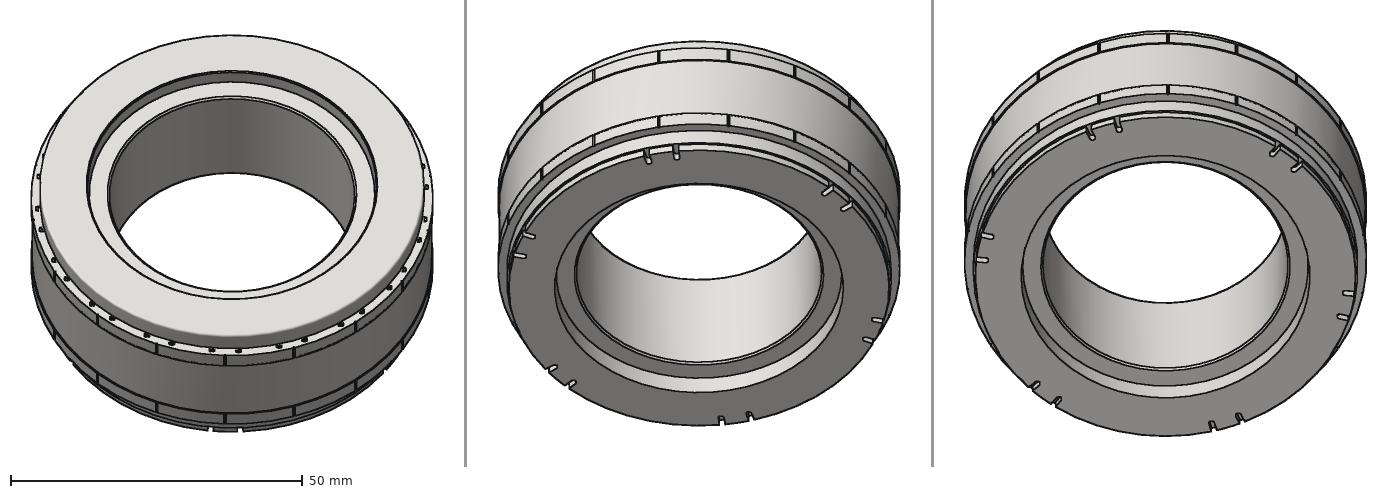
import cadquery as cq
stator_height = 27.05
stator_bore_radius = 24.8
cap_radius = 33.0
cap_fillet = 0.4
bore_chamfer = 0.2

core_radius = 34.3
band_radius = 34.5
lower_band_bottom = 4.55
lower_band_top = 7.3
upper_band_bottom = 20.6
upper_band_top = 23.5

rim_radius = 32.65
rim_height = 1.5

groove_count = 18
groove_pitch = 360 / groove_count
groove_depth = band_radius - core_radius
groove_half_width = 0.2

recess_chord_distance = 33.1
recess_radius = 0.5
recess_depth = 0.2
recess_side_offset = 3.5

slot_pair_count = 6
slot_pair_pitch = 360 / slot_pair_count
first_slot_pair_angle = -70.0
slot_offset_angle = 4.5
slot_width = 1.0
slot_end_centre_radius = 31.05

air_gap = 0.3
rotor_radius = stator_bore_radius - air_gap
rotor_bore_radius = 21.05
rotor_bottom = 3.3
rotor_top = 24.55
rotor_chamfer = 0.35

INNERMOST = cq.selectors.RadiusNthSelector(0)
first_groove_angle = 90.0
groove_angles = [first_groove_angle + index * groove_pitch for index in range(groove_count)]


def cylinder(radius, bottom, top):
    return cq.Workplane("XY").workplane(offset=bottom).circle(radius).extrude(top - bottom)


def turn(shape, angle):
    """Turn a shape about the Z axis."""
    return shape.rotate((0, 0, 0), (0, 0, 1), angle)


def make_bands():
    lower_band = cylinder(band_radius, lower_band_bottom, lower_band_top)
    upper_band = cylinder(band_radius, upper_band_bottom, upper_band_top)
    core = cylinder(core_radius, lower_band_bottom, upper_band_top)
    return core.union(lower_band).union(upper_band)


def cut_band_grooves(bands):
    groove = (
        cq.Workplane("XY")
        .workplane(offset=lower_band_bottom)
        .moveTo(core_radius, 0)
        .lineTo(band_radius + groove_depth, 2 * groove_half_width)
        .lineTo(band_radius + groove_depth, -2 * groove_half_width)
        .close()
        .extrude(upper_band_top - lower_band_bottom)
    )
    for angle in groove_angles:
        bands = bands.cut(turn(groove, angle))
    return bands


def cut_recesses(bands):
    chord = recess_chord_distance
    recess = (
        cq.Workplane("XY")
        .workplane(offset=upper_band_top - recess_depth)
        .moveTo(chord, -recess_radius)
        .threePointArc((chord + recess_radius, 0), (chord, recess_radius))
        .close()
        .extrude(recess_depth)
    )
    for groove_angle in groove_angles:
        tooth_angle = groove_angle + groove_pitch / 2
        for side in (-1, 1):
            bands = bands.cut(turn(recess.translate((0, side * recess_side_offset, 0)), tooth_angle))
    return bands


def make_slotted_rim():
    rim = cylinder(rim_radius, 0, rim_height)
    slot_end = cylinder(slot_width / 2, 0, rim_height).translate((slot_end_centre_radius, 0, 0))
    slot = slot_end.union(
        cq.Workplane("XY")
        .box(cap_radius - slot_end_centre_radius, slot_width, rim_height, centered=(False, True, False))
        .translate((slot_end_centre_radius, 0, 0))
    )
    for index in range(slot_pair_count):
        pair_angle = first_slot_pair_angle + index * slot_pair_pitch
        for side in (-1, 1):
            rim = rim.cut(turn(slot, pair_angle + side * slot_offset_angle))
    return rim


def make_stator():
    bands = cut_recesses(cut_band_grooves(make_bands()))
    cap = cylinder(cap_radius, rim_height, stator_height).faces(">Z").edges().fillet(cap_fillet)
    blank = bands.union(cap).union(make_slotted_rim())
    bored = blank.cut(cylinder(stator_bore_radius, 0, stator_height))
    return bored.faces(">Z").edges(INNERMOST).chamfer(bore_chamfer)


def make_rotor():
    ring = cylinder(rotor_radius, rotor_bottom, rotor_top).cut(
        cylinder(rotor_bore_radius, rotor_bottom, rotor_top)
    )
    return ring.faces("<Z or >Z").edges(INNERMOST).chamfer(rotor_chamfer)


stator = make_stator()
rotor = make_rotor()

result = cq.Compound.makeCompound([stator.val(), rotor.val()])